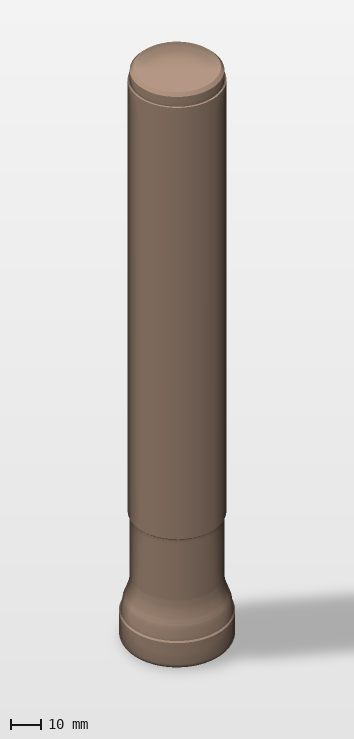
import cadquery as cq
import math

total_height = 228.5
head_diameter = 38.2
head_radius = head_diameter / 2

head_top = 11.2
head_base_fillet = 2.0
head_top_chamfer = 0.5

shoulder_top = 16.5
cone_top = 18.5
flare_top = 25.4
cone_angle = math.radians(21)

neck_diameter = 31.0
neck_radius = neck_diameter / 2
barrel_diameter = 32.5
barrel_radius = barrel_diameter / 2
barrel_bottom = 49.8
barrel_chamfer = 0.57
cap_height = 5.0
cap_radius = neck_radius
cap_chamfer = 1.1
cap_bottom = total_height - cap_height


def make_body():
    """Head, flare, neck and barrel, turned as one solid about Z."""
    half_angle_tan = math.tan(cone_angle / 2)
    concave_height = flare_top - cone_top
    convex_height = shoulder_top - head_top
    concave_radius = concave_height / math.sin(cone_angle)
    convex_radius = convex_height / math.sin(cone_angle)

    cone_top_radius = neck_radius + concave_height * half_angle_tan
    cone_base_radius = cone_top_radius + (cone_top - shoulder_top) * math.tan(cone_angle)
    shoulder_radius = cone_base_radius + convex_height * half_angle_tan

    mid_sine = math.sin(cone_angle / 2)
    mid_drop = 1 - math.cos(cone_angle / 2)
    convex_mid = (shoulder_radius - convex_radius * mid_drop, head_top + convex_radius * mid_sine)
    concave_mid = (neck_radius + concave_radius * mid_drop, flare_top - concave_radius * mid_sine)

    fillet_mid_inset = head_base_fillet * (1 - math.sqrt(0.5))

    profile = (
        cq.Workplane("XZ")
        .moveTo(0, 0)
        .lineTo(head_radius - head_base_fillet, 0)
        .threePointArc(
            (head_radius - fillet_mid_inset, fillet_mid_inset),
            (head_radius, head_base_fillet),
        )
        .lineTo(head_radius, head_top - head_top_chamfer)
        .lineTo(head_radius - head_top_chamfer, head_top)
        .lineTo(shoulder_radius, head_top)
        .threePointArc(convex_mid, (cone_base_radius, shoulder_top))
        .lineTo(cone_top_radius, cone_top)
        .threePointArc(concave_mid, (neck_radius, flare_top))
        .lineTo(neck_radius, barrel_bottom)
        .lineTo(barrel_radius - barrel_chamfer, barrel_bottom)
        .lineTo(barrel_radius, barrel_bottom + barrel_chamfer)
        .lineTo(barrel_radius, cap_bottom)
        .lineTo(0, cap_bottom)
        .close()
    )
    return profile.revolve(360, (0, 0, 0), (0, 1, 0))


def make_cap():
    """Chamfered disc seated on the flat upper end of the barrel."""
    disc = cq.Workplane("XY").workplane(offset=cap_bottom).circle(cap_radius).extrude(cap_height)
    return disc.faces(">Z").edges().chamfer(cap_chamfer)


body = make_body()
cap = make_cap()

result = cq.Compound.makeCompound([body.val(), cap.val()])